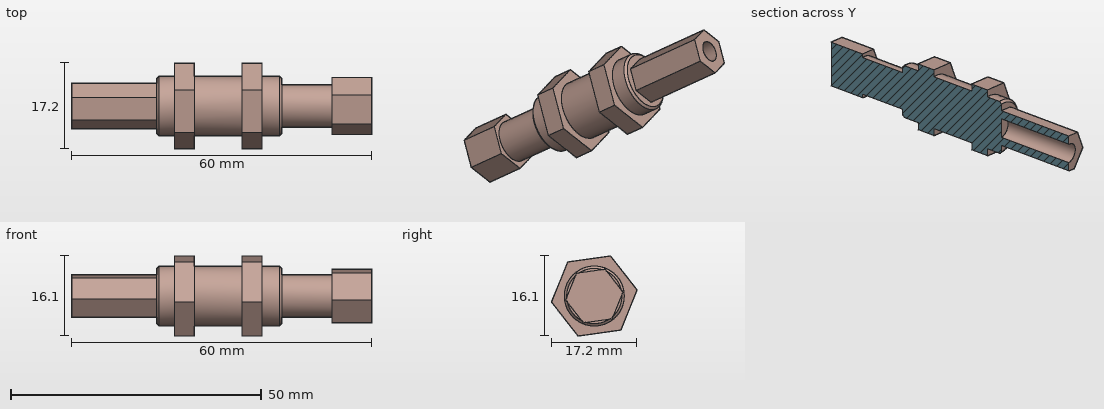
import cadquery as cq
import math

total_length = 60
front_hex_length = 17.0
body_length = 25.0
end_hex_length = 8.0
nut_thickness = 4.0
nut_starts = (20.5, 34.0)

body_diameter = 12
rod_diameter = 8.5
front_hex_across_flats = 8.0
end_hex_across_flats = 10.0
nut_across_flats = 15
hex_tilt = 8

body_chamfer = 0.5
bore_diameter = 4.15
bore_depth = front_hex_length

body_end = front_hex_length + body_length
end_hex_start = total_length - end_hex_length


def plane_at(x):
    """YZ plane at station x, with its normal along +X."""
    return cq.Workplane("YZ", origin=(x, 0, 0))


def hex_bar(x, length, across_flats):
    """Hexagonal bar along X, turned by the common tilt."""
    corner_diameter = across_flats / math.cos(math.radians(30))
    bar = plane_at(x).polygon(6, corner_diameter).extrude(length)
    return bar.rotate((0, 0, 0), (1, 0, 0), hex_tilt)


def round_bar(x, length, diameter):
    """Round bar along X."""
    return plane_at(x).circle(diameter / 2).extrude(length)


body = round_bar(front_hex_length, body_length, body_diameter)
body = body.faces("<X or >X").chamfer(body_chamfer)

result = body.union(hex_bar(0, front_hex_length, front_hex_across_flats))
result = result.union(round_bar(body_end, end_hex_start - body_end, rod_diameter))
result = result.union(hex_bar(end_hex_start, end_hex_length, end_hex_across_flats))

for nut_start in nut_starts:
    result = result.union(hex_bar(nut_start, nut_thickness, nut_across_flats))

result = result.cut(round_bar(0, bore_depth, bore_diameter))